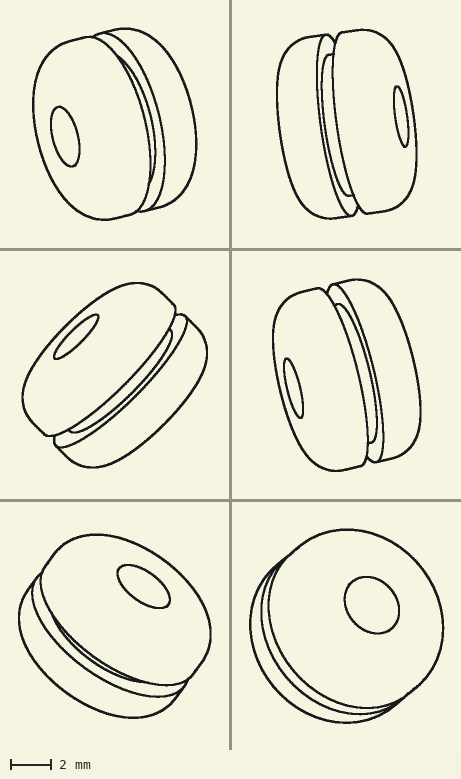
import cadquery as cq

outer_diameter = 9.0
thickness = 5.5
bore_diameter = outer_diameter / 3
groove_diameter = 7.0
groove_width = 0.8
rim_radius = outer_diameter / 6


def disc(diameter, length):
    """Cylinder along Y, centred on the origin."""
    return cq.Workplane("XZ", origin=(0, length / 2, 0)).circle(diameter / 2).extrude(length)


body = disc(outer_diameter, thickness).faces("<Y or >Y").edges().fillet(rim_radius)

groove = disc(outer_diameter, groove_width).cut(disc(groove_diameter, groove_width))

bore = disc(bore_diameter, thickness)

result = body.cut(groove).cut(bore)